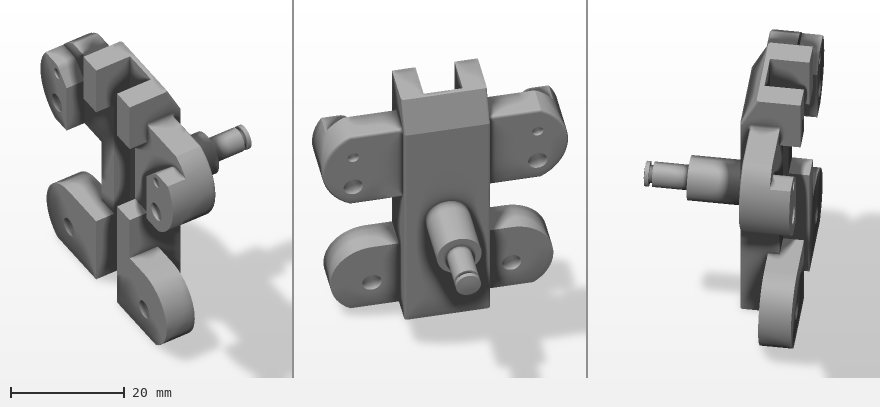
import cadquery as cq
import math

height = 50.0
body_half_width = 7.7
body_depth = 10.75
slope_height = 5.9
slope_depth = 2.9
back_edge_radius = 0.5
channel_width = 7.0
channel_depth = 7.0

step_depth = 3.7
top_pad_bottom = 40.0

wing_span = 44.15
wing_half_span = wing_span / 2
wing_bottom = 27.85
wing_top = 43.9
wing_radius = 9.0
wing_depth = 9.0
wing_edge_radius = 0.5
seam_radius = 0.5

pad_inner_x = 13.35
pad_top = 41.1
pad_chamfer = 3.1
pad_corner_radius = 2.0

foot_radius = 7.5
foot_span = 40.05
foot_center_x = foot_span / 2 - foot_radius
foot_top = 13.9
foot_depth = 5.8

bolt_hole_diameter = 3.45
wing_hole_x = 16.55
wing_hole_z = 32.0
foot_hole_z = 5.45
small_hole_diameter = 2.0
small_hole_z = 39.0

pin_z = 23.0
stem_radius = 2.25
shoulder_radius = 4.0
shoulder_length = 10.0
groove_radius = 1.6
groove_start = 27.15
groove_end = 27.8
head_end = 28.55
pin_end = 28.8


def block(x0, x1, y0, y1, z0, z1):
    """Box between two opposite corners."""
    return cq.Workplane("XY").box(x1 - x0, y1 - y0, z1 - z0, centered=False).translate((x0, y0, z0))


def front_sketch():
    """Workplane on the front face whose local axes are X and Z; extrude by a negative depth to go back."""
    return cq.Workplane("XZ")


def mirrored(shape):
    """Shape joined with its mirror image across the YZ plane."""
    return shape.union(shape.mirror("YZ"))


def make_spine():
    back_bevel_z = height - slope_height
    spine = (
        cq.Workplane("YZ")
        .polyline([
            (0, 0),
            (body_depth, 0),
            (body_depth, back_bevel_z),
            (body_depth - slope_depth, height),
            (0, height),
        ])
        .close()
        .extrude(body_half_width, both=True)
    )
    return spine.faces(">Y or (not (|X or |Y or |Z))").edges("not |X").fillet(back_edge_radius)


def make_wing():
    """Wing on the +X side, with its back rim rounded."""
    middle_z = (wing_bottom + wing_top) / 2
    arc_half_chord = (wing_top - wing_bottom) / 2
    arc_rise = wing_radius - math.sqrt(wing_radius**2 - arc_half_chord**2)
    arc_start_x = wing_half_span - arc_rise
    wing = (
        front_sketch()
        .moveTo(0, wing_bottom)
        .lineTo(arc_start_x, wing_bottom)
        .threePointArc((wing_half_span, middle_z), (arc_start_x, wing_top))
        .lineTo(0, wing_top)
        .close()
        .extrude(-wing_depth)
    )
    return wing.faces(">Y").edges("not <X").fillet(wing_edge_radius)


def make_foot():
    center_z = foot_top - foot_radius
    end_x = foot_center_x + math.sqrt(foot_radius**2 - center_z**2)
    return (
        front_sketch()
        .moveTo(0, 0)
        .lineTo(end_x, 0)
        .threePointArc((foot_center_x + foot_radius, center_z), (foot_center_x, foot_top))
        .lineTo(0, foot_top)
        .close()
        .extrude(-foot_depth)
    )


def make_wing_step():
    """Material to remove from the front of the +X wing, leaving its raised pad."""
    step = block(0, height, 0, step_depth, wing_bottom, height)
    pad = (
        front_sketch()
        .moveTo(pad_inner_x, wing_bottom)
        .lineTo(height, wing_bottom)
        .lineTo(height, pad_top)
        .lineTo(pad_inner_x + pad_chamfer, pad_top)
        .lineTo(pad_inner_x, pad_top - pad_chamfer)
        .close()
        .extrude(-step_depth)
    )
    corner = cq.selectors.NearestToPointSelector((pad_inner_x + pad_chamfer, step_depth / 2, pad_top))
    return step.cut(pad.edges("|Y").edges(corner).fillet(pad_corner_radius))


def seam_profile(plane):
    """Concave-fillet section between the +X spine side and the wing top; local axes are X and Z."""
    x = body_half_width
    diagonal = seam_radius * (1 - math.sqrt(0.5))
    return (
        cq.Workplane(plane)
        .moveTo(x - seam_radius, wing_top - wing_edge_radius)
        .lineTo(x + seam_radius, wing_top - wing_edge_radius)
        .lineTo(x + seam_radius, wing_top)
        .threePointArc((x + diagonal, wing_top + diagonal), (x, wing_top + seam_radius))
        .lineTo(x - seam_radius, wing_top + seam_radius)
        .close()
    )


def make_wing_seam():
    """Fillet along the +X wing top, turned round the rim until it runs out in the wing's back face."""
    rim_y = wing_depth - wing_edge_radius
    rim_z = wing_top - wing_edge_radius
    rim_plane = cq.Plane(origin=(0, rim_y, 0), xDir=(1, 0, 0), normal=(0, -1, 0))
    straight = seam_profile(rim_plane).extrude(rim_y - step_depth)
    turned = seam_profile(rim_plane).revolve(360, (0, rim_z, 0), (1, rim_z, 0))
    return straight.union(turned)


def hole(x, z, diameter):
    return front_sketch().center(x, z).circle(diameter / 2).extrude(-body_depth)


def make_body():
    wings = mirrored(make_wing().cut(make_wing_step()))
    spine = make_spine()
    spine = spine.cut(block(-body_half_width, 0, 0, step_depth, foot_top, top_pad_bottom))
    spine = spine.cut(block(0, body_half_width, 0, step_depth, pin_z, top_pad_bottom))
    body = spine.union(wings).union(mirrored(make_wing_seam()))
    body = body.union(mirrored(make_foot()))
    body = body.cut(block(-channel_width / 2, channel_width / 2, 0, channel_depth, 0, height))
    for side in (-1, 1):
        body = body.cut(hole(side * wing_hole_x, wing_hole_z, bolt_hole_diameter))
        body = body.cut(hole(side * wing_hole_x, small_hole_z, small_hole_diameter))
        body = body.cut(hole(side * foot_center_x, foot_hole_z, bolt_hole_diameter))
    return body.cut(hole(0, pin_z, 2 * stem_radius))


def make_pin():
    """Stepped pin turned about its axis, with a retaining groove and a domed tip."""
    shoulder_end = body_depth + shoulder_length
    dome_height = pin_end - head_end
    dome_radius = (stem_radius**2 + dome_height**2) / (2 * dome_height)
    half_angle = math.asin(stem_radius / dome_radius) / 2
    dome_middle = (
        dome_radius * math.sin(half_angle),
        pin_end - dome_radius * (1 - math.cos(half_angle)),
    )
    profile = (
        cq.Workplane("XY")
        .moveTo(0, channel_depth)
        .lineTo(stem_radius, channel_depth)
        .lineTo(stem_radius, body_depth)
        .lineTo(shoulder_radius, body_depth)
        .lineTo(shoulder_radius, shoulder_end)
        .lineTo(stem_radius, shoulder_end)
        .lineTo(stem_radius, groove_start)
        .lineTo(groove_radius, groove_start)
        .lineTo(groove_radius, groove_end)
        .lineTo(stem_radius, groove_end)
        .lineTo(stem_radius, head_end)
        .threePointArc(dome_middle, (0, pin_end))
        .close()
    )
    return profile.revolve(360, (0, 0, 0), (0, 1, 0)).translate((0, 0, pin_z))


body = make_body()
pin = make_pin()
result = cq.Compound.makeCompound([body.solids().val(), pin.val()])